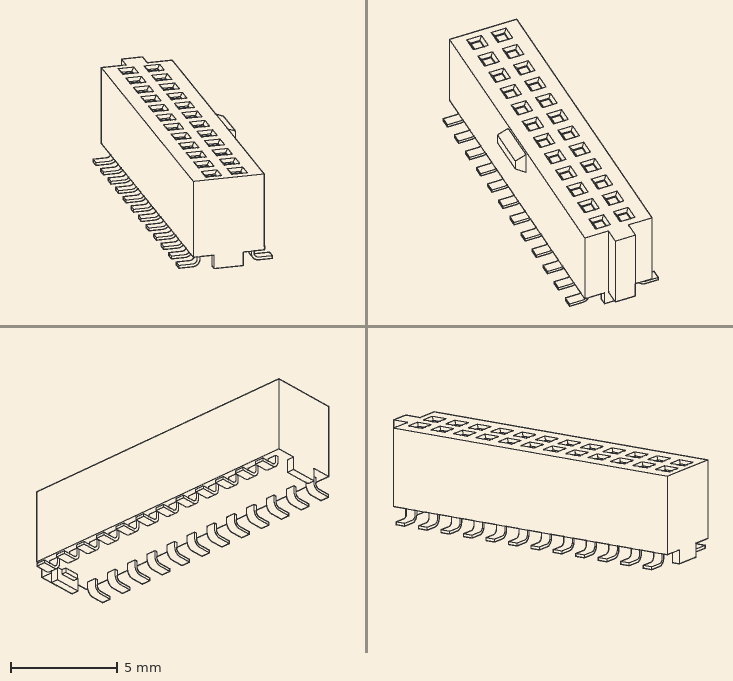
import cadquery as cq

total_length = 16.25
total_width = 4.58
total_height = 4.52

standoff = 0.68
body_width = 3.48
key_length = 0.8
key_width = 1.04
body_length = total_length - key_length
body_height = total_height - standoff
body_center_x = key_length + body_length / 2

contacts_per_row = 12
pitch = 1.27

socket_mouth = 0.76
socket_throat = 0.49
lead_in_depth = 0.15
well_depth = 0.06

lead_width = 0.49
lead_thickness = 0.15
lead_inner_radius = 0.23
lead_inset = 0.34

post_length = 0.39
post_width = 1.43
step_length = 0.25
step_width = 0.81
step_height = 0.25

latch_length = 2.03
latch_root_top = 0.18
latch_tip_top = 0.39
latch_tip_bottom = 0.88
latch_root_bottom = 1.3

contact_x = [
    body_center_x + (i - (contacts_per_row - 1) / 2) * pitch
    for i in range(contacts_per_row)
]


def box_on(x_start, z_start, length, width, height):
    """Box centred on Y that grows in +X and +Z from its start."""
    return (
        cq.Workplane("XY")
        .box(length, width, height, centered=(False, True, False))
        .translate((x_start, 0, z_start))
    )


def make_housing():
    body = box_on(key_length, standoff, body_length, body_width, body_height)
    key = box_on(0, standoff, key_length, key_width, body_height)
    return body.union(key)


def make_posts():
    left = box_on(key_length, 0, post_length, post_width, standoff)
    left_step = box_on(
        key_length + post_length, standoff - step_height, step_length, step_width, step_height
    )
    left = left.union(left_step)
    right = left.mirror("YZ", (body_center_x, 0, 0))
    return left.union(right)


def make_latch():
    root = body_width / 2
    tip = total_width / 2
    return (
        cq.Workplane("YZ", origin=(body_center_x - latch_length / 2, 0, 0))
        .moveTo(root, total_height - latch_root_top)
        .lineTo(tip, total_height - latch_tip_top)
        .lineTo(tip, total_height - latch_tip_bottom)
        .lineTo(root, total_height - latch_root_bottom)
        .close()
        .extrude(latch_length)
    )


def make_lead():
    """Lead on the +Y side, centred on X = 0."""
    outer_face = body_width / 2 - lead_inset
    inner_face = outer_face - lead_thickness
    outer_radius = lead_inner_radius + lead_thickness
    bend_end = inner_face + outer_radius
    tip = total_width / 2
    return (
        cq.Workplane("YZ", origin=(-lead_width / 2, 0, 0))
        .moveTo(inner_face, standoff)
        .lineTo(inner_face, outer_radius)
        .radiusArc((bend_end, 0), -outer_radius)
        .lineTo(tip, 0)
        .lineTo(tip, lead_thickness)
        .lineTo(bend_end, lead_thickness)
        .radiusArc((outer_face, outer_radius), lead_inner_radius)
        .lineTo(outer_face, standoff)
        .close()
        .extrude(lead_width)
    )


def make_socket():
    """Socket void centred on X = Y = 0, opening at the top face."""
    lead_in = (
        cq.Workplane("XY", origin=(0, 0, total_height))
        .rect(socket_mouth, socket_mouth)
        .workplane(offset=-lead_in_depth)
        .rect(socket_throat, socket_throat)
        .loft(ruled=True)
    )
    well = box_on(
        -socket_throat / 2,
        total_height - lead_in_depth - well_depth,
        socket_throat,
        socket_throat,
        well_depth,
    )
    return lead_in.union(well)


result = make_housing().union(make_posts()).union(make_latch())

back_lead = make_lead()
front_lead = back_lead.mirror("XZ")
socket = make_socket()
for x in contact_x:
    result = result.union(back_lead.translate((x, 0, 0)))
    result = result.union(front_lead.translate((x, 0, 0)))
    for y in (-pitch / 2, pitch / 2):
        result = result.cut(socket.translate((x, y, 0)))